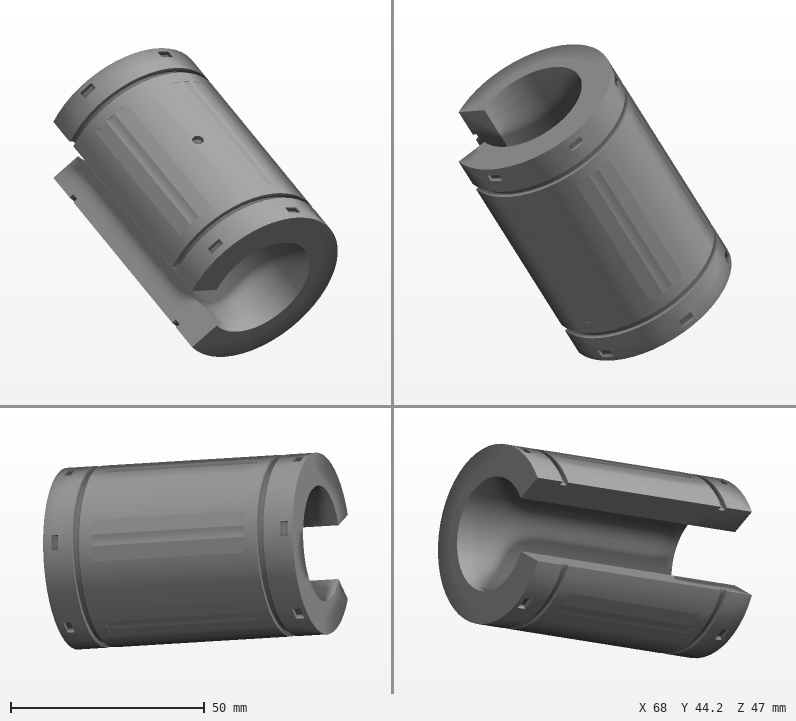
import cadquery as cq
import math

length = 68.0
outer_diameter = 47.0
bore_diameter = 30.0
opening_angle = 56.0
outer_radius = outer_diameter / 2
past_surface = 3.4

ring_groove_width = 1.85
ring_groove_diameter = 44.5
ring_groove_outer_span = 52.1

station_pitch = 60.0
station_angles = [station_pitch * i for i in range(1, 6)]

pad_length = 41.35
pad_angle = 27.0
track_width = 3.0
track_radius = 7.5

window_width = 3.9
window_depth = 1.2
window_lean = 14.0
window_lean_sides = (-1, 1, 0, -1, 1)
left_window_start = 1.35
left_window_length = 2.2
right_window_start = 2.1
right_window_length = 2.0

pin_diameter = 3.0
pin_depth = 1.35
pin_offset = 2.1


def cylinder(diameter, start, end):
    """Cylinder on the X axis between two X positions."""
    return cq.Workplane("YZ", origin=(start, 0, 0)).circle(diameter / 2).extrude(end - start)


def at_station(tool, angle):
    """Turn a tool built facing -Y about the X axis."""
    return tool.rotate((0, 0, 0), (1, 0, 0), -angle)


def wedge(angle, start, end):
    """Triangular prism spreading from the X axis towards -Y."""
    reach = outer_radius + past_surface
    half_width = reach * math.tan(math.radians(angle / 2))
    return (
        cq.Workplane("YZ", origin=(start, 0, 0))
        .polyline([(0, 0), (-reach, half_width), (-reach, -half_width)])
        .close()
        .extrude(end - start)
    )


def sleeve():
    ends = (-length / 2, length / 2)
    ring = cylinder(outer_diameter, *ends).cut(cylinder(bore_diameter, *ends))
    return ring.cut(wedge(opening_angle, *ends))


def ring_groove(start):
    end = start + ring_groove_width
    return cylinder(outer_diameter + past_surface, start, end).cut(cylinder(ring_groove_diameter, start, end))


def surface_point(angle):
    """(Y, Z) on the outer surface at an angle away from -Y."""
    turn = math.radians(angle)
    return (-outer_radius * math.cos(turn), outer_radius * math.sin(turn))


def pad_recess():
    ends = (-pad_length / 2, pad_length / 2)
    edge_angle = pad_angle / 2
    track_angle = math.degrees(math.asin(track_width / 2 / outer_radius))
    corner_angles = (-edge_angle, -track_angle, track_angle, edge_angle)
    core = (
        cq.Workplane("YZ", origin=(ends[0], 0, 0))
        .polyline([(0, 0)] + [surface_point(angle) for angle in corner_angles])
        .close()
        .extrude(pad_length)
    )
    recess = wedge(pad_angle, *ends).cut(core)
    edge_y, edge_z = surface_point(track_angle)
    track_y = edge_y - math.sqrt(track_radius**2 - edge_z**2)
    track = cylinder(2 * track_radius, *ends).translate((0, track_y, 0))
    return recess.union(track)


def window(start, window_length, lean):
    """Pocket facing -Y with a flat floor; its two long walls lean by an angle about X."""
    floor_y = window_depth - outer_radius
    top_y = -outer_radius - past_surface
    half_width = window_width / 2
    slope = math.tan(math.radians(lean))
    floor_shift = slope * window_depth
    top_shift = -slope * past_surface
    return (
        cq.Workplane("YZ", origin=(start, 0, 0))
        .polyline([
            (floor_y, floor_shift - half_width),
            (floor_y, floor_shift + half_width),
            (top_y, top_shift + half_width),
            (top_y, top_shift - half_width),
        ])
        .close()
        .extrude(window_length)
    )


def pin_hole():
    hole = cq.Workplane("XY", origin=(0, 0, outer_radius - pin_depth)).circle(pin_diameter / 2)
    tilt = math.degrees(math.asin(pin_offset / outer_radius))
    return hole.extrude(pin_depth + past_surface).rotate((0, 0, 0), (1, 0, 0), -tilt)


result = sleeve()

groove_start = ring_groove_outer_span / 2
for start in (-groove_start, groove_start - ring_groove_width):
    result = result.cut(ring_groove(start))

left_start = left_window_start - length / 2
right_start = length / 2 - right_window_start - right_window_length
for angle, lean_side in zip(station_angles, window_lean_sides):
    lean = lean_side * window_lean
    left_window = window(left_start, left_window_length, lean)
    right_window = window(right_start, right_window_length, lean)
    for tool in (pad_recess(), left_window, right_window):
        result = result.cut(at_station(tool, angle))

result = result.cut(pin_hole())